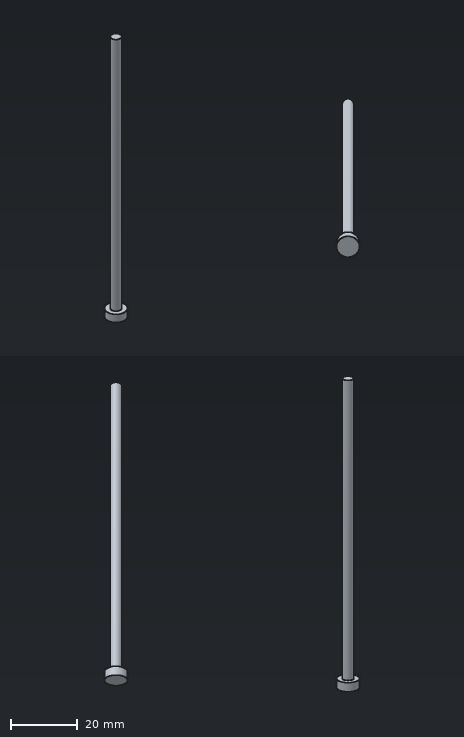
import cadquery as cq

total_length = 100.0
head_diameter = 7.0
head_thickness = 3.0
shank_diameter = 3.5


def make_head():
    return cq.Workplane("XY").circle(head_diameter / 2).extrude(head_thickness)


def make_shank():
    return cq.Workplane("XY").circle(shank_diameter / 2).extrude(total_length)


result = make_head().union(make_shank())